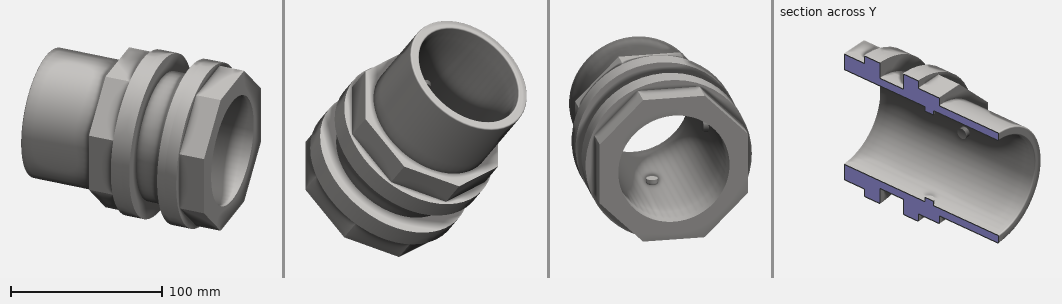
import cadquery as cq

pipe_diameter = 87.88
bore_diameter = 75.0
flange_diameter = 112.0
octagon_sides = 8
octagon_across_flats = 100.0
mouth_round = 1.0

pipe_end_length = 51.0
body_octagon_length = 18.0
body_flange_length = 7.8
first_gasket_length = 5.4
panel_gap = 19.8
second_gasket_length = 5.4
nut_flange_length = 8.2
nut_octagon_length = 17.4

body_octagon_start = pipe_end_length
body_flange_start = body_octagon_start + body_octagon_length
first_gasket_start = body_flange_start + body_flange_length
first_gasket_end = first_gasket_start + first_gasket_length
second_gasket_start = first_gasket_end + panel_gap
nut_flange_start = second_gasket_start + second_gasket_length
nut_octagon_start = nut_flange_start + nut_flange_length
total_length = nut_octagon_start + nut_octagon_length

peg_count = 4
peg_diameter = 7.7
peg_tip_radius = 34.0
mid_wall_diameter = (bore_diameter + pipe_diameter) / 2
peg_root_radius = mid_wall_diameter / 2
peg_station = body_octagon_start + body_octagon_length / 2


def disc(start, length, diameter):
    """Solid cylinder on the X axis."""
    return cq.Workplane("YZ", origin=(start, 0, 0)).circle(diameter / 2).extrude(length)


def octagon(start, length):
    """Octagonal wrench grip with flats square to Y and Z."""
    outline = cq.Workplane("YZ", origin=(start, 0, 0))
    grip = outline.polygon(octagon_sides, octagon_across_flats, circumscribed=True)
    return grip.extrude(length)


def sleeve():
    """Pipe through the whole part, with rounded edges at its plain end."""
    pipe = disc(0, total_length, pipe_diameter).cut(disc(0, total_length, bore_diameter))
    return pipe.faces("<X").edges().fillet(mouth_round)


def collars():
    """Wrench grips, flanges and gaskets around the pipe, bored to slide over it."""
    rings = [
        octagon(body_octagon_start, body_octagon_length),
        disc(body_flange_start, body_flange_length, flange_diameter),
        disc(first_gasket_start, first_gasket_length, flange_diameter),
        disc(second_gasket_start, second_gasket_length, flange_diameter),
        disc(nut_flange_start, nut_flange_length, flange_diameter),
        octagon(nut_octagon_start, nut_octagon_length),
    ]
    pipe_hole = disc(0, total_length, pipe_diameter)
    return [ring.cut(pipe_hole) for ring in rings]


def pegs():
    """Round pegs spaced evenly around the bore, rooted inside the pipe wall."""
    base = cq.Workplane("XY", origin=(peg_station, 0, peg_tip_radius))
    peg = base.circle(peg_diameter / 2).extrude(peg_root_radius - peg_tip_radius)
    spacing = 360 / peg_count
    return [peg.rotate((0, 0, 0), (1, 0, 0), i * spacing) for i in range(peg_count)]


result = sleeve()
for piece in collars() + pegs():
    result = result.union(piece, clean=False)